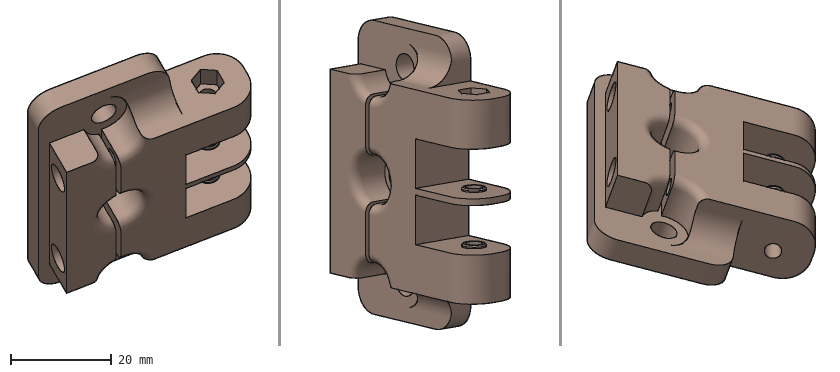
import cadquery as cq
import math


HEIGHT = 60.0
PLATE_THICKNESS = 5.0
PLATE_DEPTH = 29.0
PLATE_CORNER_RADIUS = 5.0

WIDTH = 14.0
DEPTH = 45.0
KNUCKLE_SPAN = 41.65
KNUCKLE_HEIGHT = 10.0
MIDDLE_LEAF_THICKNESS = 1.4
KNUCKLE_RADIUS = 6.0
SLOT_FLOOR_Y = 28.4
ARM_FRONT_Y = 14.0
COVE_RADIUS = 6.0

HINGE_X = 6.0
HINGE_Y = 37.0
HINGE_HOLE_DIAMETER = 3.5
NUT_ACROSS_FLATS = 5.7
NUT_POCKET_DEPTH = 5.0
BOSS_DIAMETER = 5.0
BOSS_HEIGHT = 0.6
BOSS_CHAMFER = 0.3

CHANNEL_RADIUS = 5.05
CHANNEL_Y = 14.5
CHANNEL_PITCH = 22.0
CHANNEL_MOUTH_RADIUS = 2.0
OUTER_HOLE_DIAMETER = 5.45

CLAMP_FRONT_Y = 2.0
CLAMP_GAP = 1.0
CLAMP_X = PLATE_THICKNESS + CLAMP_GAP
CLAMP_BACK_Y = ARM_FRONT_Y - CLAMP_GAP
SCREW_X = (CLAMP_X + WIDTH) / 2
SCREW_Z = 13.8
SCREW_HOLE_DIAMETER = HINGE_HOLE_DIAMETER
SCREW_HEAD_DIAMETER = 6.0
SCREW_HEAD_DEPTH = 1.8
SCREW_HOLE_END_Y = 27.0

HALF_SPAN = KNUCKLE_SPAN / 2
SLOT_TOP_Z = HALF_SPAN - KNUCKLE_HEIGHT
SLOT_BOTTOM_Z = MIDDLE_LEAF_THICKNESS / 2
SLOT_HEIGHT = SLOT_TOP_Z - SLOT_BOTTOM_Z


def box(x_range, y_range, z_range):
    """Block between the given limits along each axis."""
    lengths = [end - start for start, end in (x_range, y_range, z_range)]
    corner = (x_range[0], y_range[0], z_range[0])
    return cq.Workplane("XY").box(*lengths, centered=False).translate(corner)


def cylinder_x(radius, y, z, x_start, x_end):
    """Cylinder along X."""
    return cq.Workplane("YZ", origin=(x_start, y, z)).circle(radius).extrude(x_end - x_start)


def cylinder_y(radius, x, z, y_start, y_end):
    """Cylinder along Y."""
    return cq.Workplane("XZ", origin=(x, y_start, z)).circle(radius).extrude(y_start - y_end)


def rounded_slab(thickness):
    """Slab with the plate's rounded outline and the given thickness along X."""
    middle = (0, PLATE_DEPTH / 2, 0)
    return (
        cq.Workplane("YZ", origin=middle)
        .rect(PLATE_DEPTH, HEIGHT)
        .extrude(thickness)
        .edges("|X")
        .fillet(PLATE_CORNER_RADIUS)
    )


def arm():
    """Web behind the plate, with a concave cove running into the plate at each end.

    The coves stay within the rounded outline of the plate.
    """
    cove_x = PLATE_THICKNESS + COVE_RADIUS
    cove_z = HALF_SPAN + COVE_RADIUS
    chord = COVE_RADIUS * math.sqrt(0.5)
    web = (
        cq.Workplane("XZ", origin=(0, ARM_FRONT_Y, 0))
        .moveTo(PLATE_THICKNESS, -cove_z)
        .threePointArc((cove_x - chord, -cove_z + chord), (cove_x, -HALF_SPAN))
        .lineTo(WIDTH, -HALF_SPAN)
        .lineTo(WIDTH, HALF_SPAN)
        .lineTo(cove_x, HALF_SPAN)
        .threePointArc((cove_x - chord, cove_z - chord), (PLATE_THICKNESS, cove_z))
        .close()
        .extrude(ARM_FRONT_Y - PLATE_DEPTH)
    )
    return web.intersect(rounded_slab(WIDTH))


def knuckles():
    """Rounded hinge end, split by two slots into two knuckles and a thin middle leaf."""
    block = box((0, WIDTH), (PLATE_DEPTH, DEPTH), (-HALF_SPAN, HALF_SPAN))
    return block.edges("|Z and >Y").fillet(KNUCKLE_RADIUS)


def slots():
    upper = box((0, WIDTH), (SLOT_FLOOR_Y, DEPTH), (SLOT_BOTTOM_Z, SLOT_TOP_Z))
    return upper.union(upper.mirror("XY"))


def spacer_bosses():
    """Chamfered rings standing into both slots from each of their faces."""
    boss = (
        cq.Workplane("XY", origin=(HINGE_X, HINGE_Y, SLOT_BOTTOM_Z))
        .circle(BOSS_DIAMETER / 2)
        .extrude(BOSS_HEIGHT)
        .faces(">Z")
        .chamfer(BOSS_CHAMFER)
    )
    slot_middle = (0, 0, SLOT_BOTTOM_Z + SLOT_HEIGHT / 2)
    pair = boss.union(boss.mirror("XY", slot_middle))
    return pair.union(pair.mirror("XY"))


def hinge_hole():
    """Pin hole through all the knuckles, with a hexagonal nut pocket in the top face."""
    hole = (
        cq.Workplane("XY", origin=(HINGE_X, HINGE_Y, -HALF_SPAN))
        .circle(HINGE_HOLE_DIAMETER / 2)
        .extrude(KNUCKLE_SPAN)
    )
    across_corners = NUT_ACROSS_FLATS / math.cos(math.pi / 6)
    pocket = (
        cq.Workplane("XY", origin=(HINGE_X, HINGE_Y, HALF_SPAN))
        .polygon(6, across_corners)
        .extrude(-NUT_POCKET_DEPTH)
    )
    return hole.union(pocket)


def channels():
    """Three bores along X behind the plate, each flaring out to a rounded mouth at the far side."""
    flare_start = WIDTH - CHANNEL_MOUTH_RADIUS
    mouth_radius = CHANNEL_RADIUS + CHANNEL_MOUTH_RADIUS
    chord = CHANNEL_MOUTH_RADIUS * math.sqrt(0.5)
    bore = (
        cq.Workplane("XY")
        .moveTo(PLATE_THICKNESS, 0)
        .lineTo(PLATE_THICKNESS, CHANNEL_RADIUS)
        .lineTo(flare_start, CHANNEL_RADIUS)
        .threePointArc((flare_start + chord, mouth_radius - chord), (WIDTH, mouth_radius))
        .lineTo(WIDTH, 0)
        .close()
        .revolve(360, (0, 0), (1, 0))
        .translate((0, CHANNEL_Y, 0))
    )
    above = bore.translate((0, 0, CHANNEL_PITCH))
    below = bore.translate((0, 0, -CHANNEL_PITCH))
    return bore.union(above).union(below)


def plate_holes():
    """Middle channel carried on through the plate, and a smaller hole at each outer channel."""
    holes = cylinder_x(CHANNEL_RADIUS, CHANNEL_Y, 0, 0, PLATE_THICKNESS)
    for z in (-CHANNEL_PITCH, CHANNEL_PITCH):
        holes = holes.union(cylinder_x(OUTER_HOLE_DIAMETER / 2, CHANNEL_Y, z, 0, PLATE_THICKNESS))
    return holes


def screw_holes():
    """Counterbored holes through the clamp, carried on as blind holes in the arm."""
    holes = cq.Workplane("XY")
    for z in (-SCREW_Z, SCREW_Z):
        shank = cylinder_y(SCREW_HOLE_DIAMETER / 2, SCREW_X, z, CLAMP_FRONT_Y, SCREW_HOLE_END_Y)
        head_end_y = CLAMP_FRONT_Y + SCREW_HEAD_DEPTH
        head = cylinder_y(SCREW_HEAD_DIAMETER / 2, SCREW_X, z, CLAMP_FRONT_Y, head_end_y)
        holes = holes.add(shank.union(head))
    return holes.combine()


def make_mount():
    body = rounded_slab(PLATE_THICKNESS).union(arm()).union(knuckles())
    body = body.cut(slots()).union(spacer_bosses())
    return body.cut(hinge_hole()).cut(channels()).cut(plate_holes()).cut(screw_holes())


def make_clamp():
    bar = box((CLAMP_X, WIDTH), (CLAMP_FRONT_Y, CLAMP_BACK_Y), (-HALF_SPAN, HALF_SPAN))
    return bar.cut(channels()).cut(screw_holes())


mount = make_mount()
clamp = make_clamp()
result = cq.Compound.makeCompound([mount.val(), clamp.val()])